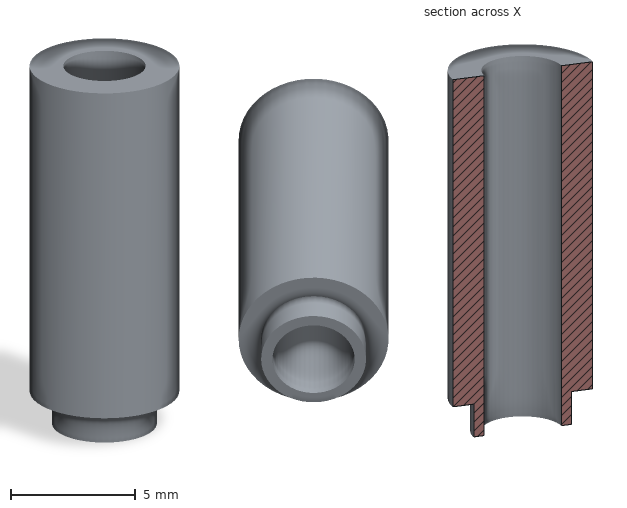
import cadquery as cq

total_length = 15.4
spigot_length = 1.4
body_length = total_length - spigot_length

body_diameter = 6.0
spigot_diameter = 4.2
bore_diameter = 3.3

spigot = cq.Workplane("XY").circle(spigot_diameter / 2).extrude(spigot_length)

body = (
    cq.Workplane("XY")
    .workplane(offset=spigot_length)
    .circle(body_diameter / 2)
    .extrude(body_length)
)

bore = cq.Workplane("XY").circle(bore_diameter / 2).extrude(total_length)

result = body.union(spigot).cut(bore)